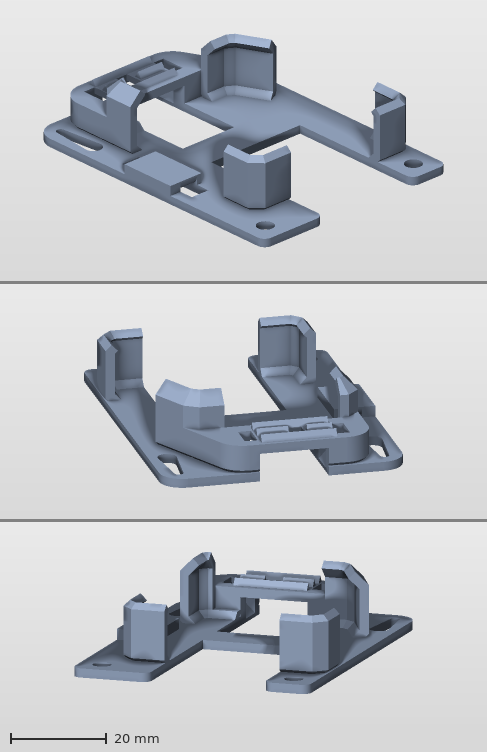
import cadquery as cq
import math

BEND_ANGLE = math.radians(45)

plate_length = 70.45
plate_width = 52.4
plate_thickness = 2.0
rear_corner_radius = 5.0
arm_corner_radius = 2.0

arm_gap_start = 36.1
arm_gap_low = 17.05
arm_gap_high = 42.5
opening_end = 27.3
opening_low = arm_gap_low
opening_high = 31.85

screw_hole_diameter = 4.0
screw_hole_edge = 5.0
keyhole_edge = 4.0
keyhole_small_x = 3.95
keyhole_small_radius = 1.0
keyhole_big_x = 13.95
keyhole_big_radius = screw_hole_diameter / 2

bar_start = 27.75
bar_length = 14.0
bar_width = 8.9
bar_top = 4.3
bar_round = plate_thickness
strap_slot_start = 23.9
strap_slot_length = 21.35
strap_slot_low = 2.9
strap_slot_high = 7.6
strap_ramp_radius = 3.0
strap_ramp_center_z = 2.8

clip_left = 12.1
clip_right = 60.45
clip_front = 7.05
clip_back = plate_width
slant_angle = math.atan(0.5)
slant_start_y = 43.95
slant_end_x = clip_left + (clip_back - slant_start_y) / math.tan(slant_angle)
wall = plate_thickness
device_chamfer = 1.5
corner_cut = device_chamfer + wall * (2 - math.sqrt(2))
slant_corner_cut = 2.1
lip_start_z = 13.1
left_clip_top = 16.0
right_clip_top = 14.4

bend_shift = wall * math.tan(BEND_ANGLE / 2)
wall_step = wall / math.sqrt(2)
foot_top = plate_thickness + device_chamfer
foot_inset = device_chamfer - bend_shift

right_clip_start = 50.5
front_left_clip_end_x = 22.0
front_left_clip_end_y = 11.55
slanted_clip_low = 36.5
slanted_clip_end_x = 22.0

bridge_top = 8.2
bridge_underside = 6.1
channel_roof = 6.7
bridge_corner_radius = 6.0
channel_left = 2.8
channel_right = 8.75
low_slot_start = 11.8
low_slot_end = 14.8
low_channel_radius = 5.0
high_slot_start = 31.7
high_slot_end = 34.45
high_channel_floor = 0.8
window_low = 20.85
window_high = 23.9

ridge_first_x = 2.05
ridge_pitch = 3.8
ridge_width = 1.9
ridge_height = 1.5
ridge_low = 14.95
ridge_high = 31.2
ridge_window_gap = 0.5

TALL = 2 * left_clip_top


def block(x0, x1, y0, y1, z0, z1):
    """Box given by its limits along each axis."""
    return cq.Workplane("XY").box(x1 - x0, y1 - y0, z1 - z0, centered=False).translate((x0, y0, z0))



def keyhole(y):
    """Tapered slot: two circles joined by their common tangents."""
    tilt = math.asin((keyhole_big_radius - keyhole_small_radius) / (keyhole_big_x - keyhole_small_x))

    def tangent_point(x, radius, side):
        return (x - radius * math.sin(tilt), y + side * radius * math.cos(tilt))

    return (
        cq.Workplane("XY")
        .moveTo(*tangent_point(keyhole_small_x, keyhole_small_radius, -1))
        .lineTo(*tangent_point(keyhole_big_x, keyhole_big_radius, -1))
        .threePointArc(
            (keyhole_big_x + keyhole_big_radius, y),
            tangent_point(keyhole_big_x, keyhole_big_radius, 1),
        )
        .lineTo(*tangent_point(keyhole_small_x, keyhole_small_radius, 1))
        .threePointArc(
            (keyhole_small_x - keyhole_small_radius, y),
            tangent_point(keyhole_small_x, keyhole_small_radius, -1),
        )
        .close()
        .extrude(plate_thickness)
    )


def make_plate():
    plate = block(0, plate_length, 0, plate_width, 0, plate_thickness)
    plate = plate.edges("|Z and <X").fillet(rear_corner_radius)
    plate = plate.cut(block(arm_gap_start, plate_length, arm_gap_low, arm_gap_high, 0, plate_thickness))
    plate = plate.edges("|Z and >X").fillet(arm_corner_radius)
    plate = plate.cut(block(0, opening_end, opening_low, opening_high, 0, plate_thickness))
    for y in (screw_hole_edge, plate_width - screw_hole_edge):
        hole = cq.Workplane("XY").circle(screw_hole_diameter / 2).extrude(plate_thickness)
        plate = plate.cut(hole.translate((plate_length - screw_hole_edge, y, 0)))
    for y in (keyhole_edge, plate_width - keyhole_edge):
        plate = plate.cut(keyhole(y))
    return plate



def strap_slot():
    """Slot through the plate whose two ends are concave ramps."""
    half_length = strap_slot_length / 2
    rise = strap_ramp_center_z - plate_thickness
    ramp_center = half_length - math.sqrt(strap_ramp_radius**2 - rise**2)
    slot = block(-ramp_center, ramp_center, strap_slot_low, strap_slot_high, 0, plate_thickness)
    for side in (-1, 1):
        ramp = (
            cq.Workplane("XZ", origin=(side * ramp_center, strap_slot_high, strap_ramp_center_z))
            .circle(strap_ramp_radius)
            .extrude(strap_slot_high - strap_slot_low)
        )
        slot = slot.union(ramp)
    below_plate_top = block(-half_length, half_length, 0, bar_width, 0, plate_thickness)
    return slot.intersect(below_plate_top).translate((strap_slot_start + half_length, 0, 0))


def strap_bar():
    """Bar over the strap slot, its lower ends rounded where the strap passes."""
    bar_end = bar_start + bar_length
    core = block(bar_start, bar_end, strap_slot_low, strap_slot_high, plate_thickness, bar_top)
    core = core.edges("|Y and <Z").fillet(bar_round)
    low_foot = block(bar_start, bar_end, 0, strap_slot_low, plate_thickness, bar_top)
    high_foot = block(bar_start, bar_end, strap_slot_high, bar_width, plate_thickness, bar_top)
    return core.union(low_foot).union(high_foot)



sharp_outline = [
    (clip_left, clip_front),
    (clip_right, clip_front),
    (clip_right, clip_back),
    (slant_end_x, clip_back),
    (clip_left, slant_start_y),
]

chamfered_outline = [
    (clip_left + corner_cut, clip_front),
    (clip_right - corner_cut, clip_front),
    (clip_right, clip_front + corner_cut),
    (clip_right, clip_back - corner_cut),
    (clip_right - corner_cut, clip_back),
    (slant_end_x, clip_back),
    (
        clip_left + slant_corner_cut * math.cos(slant_angle),
        slant_start_y + slant_corner_cut * math.sin(slant_angle),
    ),
    (clip_left, slant_start_y - slant_corner_cut),
    (clip_left, clip_front + corner_cut),
]


def stacked(outline, levels):
    """Solid whose outline is moved inwards by the given inset at each (z, inset) level."""
    wires = []
    for z, inset in levels:
        ring = cq.Workplane("XY", origin=(0, 0, z)).polyline(outline).close()
        if inset:
            ring = ring.offset2D(-inset, "intersection")
        wires.append(ring.val())
    solid = cq.Workplane(cq.Solid.makeLoft(wires[:2], True))
    for lower, upper in zip(wires[1:-1], wires[2:]):
        solid = solid.union(cq.Workplane(cq.Solid.makeLoft([lower, upper], True)))
    return solid


def clip_ring(top):
    """Closed wall around the device, with a flared foot and a lip leaning inwards up to the given top."""
    lip_inset = top - lip_start_z
    tip_z = top - wall_step
    tip_inset = lip_inset + wall_step
    outside = stacked(
        chamfered_outline,
        [(plate_thickness, foot_inset), (plate_thickness + foot_inset, 0), (lip_start_z, 0), (top, lip_inset)],
    )
    inside = stacked(
        chamfered_outline,
        [
            (plate_thickness, wall + device_chamfer),
            (foot_top, wall),
            (lip_start_z - bend_shift, wall),
            (tip_z, tip_inset),
            (top, lip_inset),
        ],
    )
    return outside.cut(inside)


def foot_ring():
    """Lower part of the wall with square outer corners, as high as the bridge."""
    outside = stacked(
        sharp_outline,
        [(plate_thickness, foot_inset), (plate_thickness + foot_inset, 0), (bridge_top, 0)],
    )
    inside = stacked(
        chamfered_outline,
        [(plate_thickness, wall + device_chamfer), (foot_top, wall), (bridge_top, wall)],
    )
    return outside.cut(inside)


def slanted_clip_zone():
    """Space kept for the clip at the slanted corner; its far end is square to the slant."""
    end_y = slant_start_y + (slanted_clip_end_x - clip_left) * math.tan(slant_angle)
    reach = slant_end_x - clip_left
    zone = block(-reach, 0, -reach, reach, 0, TALL)
    zone = zone.rotate((0, 0, 0), (0, 0, 1), math.degrees(slant_angle))
    zone = zone.translate((slanted_clip_end_x, end_y, 0))
    return zone.intersect(block(clip_left, slant_end_x, slanted_clip_low, clip_back, 0, TALL))


def make_clips():
    left_ring = clip_ring(left_clip_top).union(foot_ring())
    right_ring = clip_ring(right_clip_top)
    front_left_zone = block(clip_left, front_left_clip_end_x, clip_front, front_left_clip_end_y, 0, TALL)
    front_right_zone = block(right_clip_start, clip_right, clip_front, arm_gap_low, 0, TALL)
    back_right_zone = block(right_clip_start, clip_right, arm_gap_high, clip_back, 0, TALL)
    low_wall_zone = block(clip_left, front_left_clip_end_x, front_left_clip_end_y, opening_low, 0, foot_top)
    return [
        left_ring.intersect(front_left_zone),
        left_ring.intersect(slanted_clip_zone()),
        right_ring.intersect(front_right_zone),
        right_ring.intersect(back_right_zone),
        foot_ring().intersect(low_wall_zone),
    ]



def channel_sketch():
    """Start of a profile in the Y-Z plane at the left side of the strap channels."""
    return cq.Workplane("YZ", origin=(channel_left, 0, 0))


def low_channel():
    """Curves from the -Y slot into a 45 degree ramp that runs out into the opening."""
    half_bend = BEND_ANGLE / 2
    bend_y = low_slot_start + low_channel_radius * (1 - math.cos(BEND_ANGLE))
    bend_z = bridge_top - low_channel_radius * math.sin(BEND_ANGLE)
    return (
        channel_sketch()
        .moveTo(low_slot_start, bridge_top)
        .threePointArc(
            (
                low_slot_start + low_channel_radius * (1 - math.cos(half_bend)),
                bridge_top - low_channel_radius * math.sin(half_bend),
            ),
            (bend_y, bend_z),
        )
        .lineTo(opening_low, bend_z - (opening_low - bend_y))
        .lineTo(opening_low, channel_roof)
        .lineTo(low_slot_end, channel_roof)
        .lineTo(low_slot_end, bridge_top)
        .close()
        .extrude(channel_right - channel_left)
    )


def high_channel():
    """Drops straight from the +Y slot, then turns level into the opening."""
    radius = high_slot_end - high_slot_start
    center_z = high_channel_floor + radius
    diagonal = radius * math.sqrt(0.5)
    return (
        channel_sketch()
        .moveTo(high_slot_start, bridge_top)
        .lineTo(high_slot_end, bridge_top)
        .lineTo(high_slot_end, center_z)
        .threePointArc(
            (high_slot_start + diagonal, center_z - diagonal),
            (high_slot_start, high_channel_floor),
        )
        .close()
        .extrude(channel_right - channel_left)
    )



def make_base():
    base = make_plate().cut(strap_slot()).cut(low_channel()).cut(high_channel()).union(strap_bar())
    for clip in make_clips():
        base = base.union(clip)
    return base


def ridge(x, y0, y1):
    """Triangular grip ridge along Y on the bridge."""
    return (
        cq.Workplane("XZ", origin=(x, y1, bridge_top))
        .polyline([(-ridge_width / 2, 0), (ridge_width / 2, 0), (0, ridge_height)])
        .close()
        .extrude(y1 - y0)
    )


def make_bridge():
    slope = math.tan(slant_angle)
    bridge = (
        cq.Workplane("XY", origin=(0, 0, plate_thickness))
        .polyline(
            [
                (0, clip_front),
                (2 * clip_left, clip_front),
                (2 * clip_left, slant_start_y + clip_left * slope),
                (0, slant_start_y - clip_left * slope),
            ]
        )
        .close()
        .extrude(bridge_top - plate_thickness)
        .edges("|Z and <X")
        .fillet(bridge_corner_radius)
        .faces("<Z")
        .chamfer(foot_inset)
    )
    bridge = bridge.intersect(block(0, clip_left, 0, plate_width, 0, TALL))
    bridge = bridge.cut(block(0, clip_left, opening_low, opening_high, 0, bridge_underside))
    bridge = bridge.cut(low_channel()).cut(high_channel())
    bridge = bridge.cut(block(channel_left, channel_right, opening_low, high_slot_start, 0, channel_roof))
    bridge = bridge.cut(block(channel_left, channel_right, window_low, window_high, 0, bridge_top))

    middle_x = ridge_first_x + ridge_pitch
    last_x = middle_x + ridge_pitch
    for x, y0, y1 in (
        (ridge_first_x, ridge_low, ridge_high),
        (middle_x, ridge_low, window_low - ridge_window_gap),
        (middle_x, window_high + ridge_window_gap, ridge_high),
        (last_x, ridge_low, ridge_high),
    ):
        bridge = bridge.union(ridge(x, y0, y1))
    return bridge


base = make_base()
bridge = make_bridge()
result = cq.Compound.makeCompound([base.solids().val(), bridge.solids().val()])